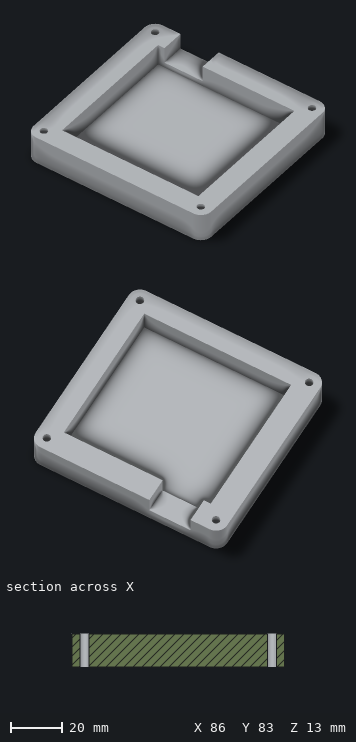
import cadquery as cq

length = 86.0
width = 83.0
height = 13.0
corner_radius = 5.0

hole_diameter = 3.4

pocket_length = 66.0
pocket_width = 63.0
left_wall = 10.5
back_wall = 10.5
floor_thickness = 3.0

notch_offset = 3.1
notch_width = 18.5
notch_depth = 7.5

left_face = -length / 2
back_face = width / 2
pocket_left = left_face + left_wall
pocket_back = back_face - back_wall


def make_block():
    """Plate with rounded vertical edges, standing on Z = 0."""
    block = cq.Workplane("XY").box(length, width, height, centered=(True, True, False))
    return block.edges("|Z").fillet(corner_radius)


def make_corner_holes():
    """Four screw holes running the full height."""
    spacing_x = length - 2 * corner_radius
    spacing_y = width - 2 * corner_radius
    return (
        cq.Workplane("XY")
        .rect(spacing_x, spacing_y, forConstruction=True)
        .vertices()
        .circle(hole_diameter / 2)
        .extrude(height)
    )


def make_pocket():
    """Rectangular recess, open at the top."""
    pocket_front = pocket_back - pocket_width
    pocket_depth = height - floor_thickness
    return (
        cq.Workplane("XY", origin=(pocket_left, pocket_front, floor_thickness))
        .box(pocket_length, pocket_width, pocket_depth, centered=False)
    )


def make_notch():
    """Shallow opening from the pocket out through the back face."""
    notch_left = pocket_left + notch_offset
    return (
        cq.Workplane("XY", origin=(notch_left, pocket_back, height - notch_depth))
        .box(notch_width, back_wall, notch_depth, centered=False)
    )


result = make_block().cut(make_corner_holes()).cut(make_pocket()).cut(make_notch())